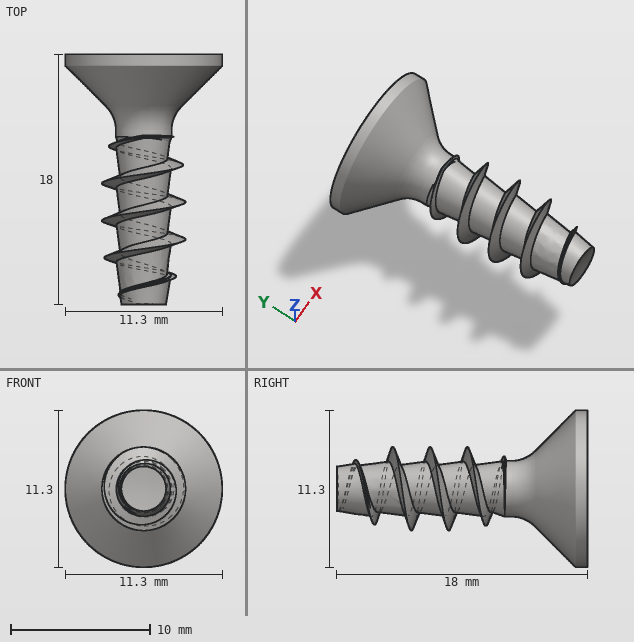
import cadquery as cq
import math

length = 18.0

head_radius = 5.65
rim_height = 0.85
rim_round = 0.05
head_half_angle = math.radians(45)
neck_radius = 2.02
neck_fillet = 2.38
neck_fillet_end = 5.45
thread_start = 5.94

tip_radius = 1.6
tip_slope = 0.17
dimple_radius = 1.5
dimple_depth = 0.1

pitch = 2.68
helix_origin = 5.27
crest_radius = 3.0
head_flank_slope = math.tan(math.radians(20))
tip_flank_slope = math.tan(math.radians(17))
thread_inner_radius = 1.44
start_turn = 0.25
crest_stations = [
    (-0.3, 1.95),
    (start_turn, 2.34),
    (1.25, crest_radius),
    (3.33, crest_radius),
    (4.75, 1.57),
]

groove_top_radius = 2.0
groove_bottom_radius = 1.67
groove_outer_radius = 2.16
lead_in_slope = 0.36
groove_margin = 0.05
groove_wall_run = 0.13
groove_least_floor = 0.09
groove_breaks = [-0.7, -0.25, 0.1, start_turn, 3.9]

points_per_turn = 24


def revolved(outline):
    """Turn a half outline about the screw axis."""
    return outline.close().revolve(360, (0, 0, 0), (0, 1, 0))


def make_body():
    """Head, neck and core down to the tip as one turned blank."""
    arc_center_radius = neck_radius + neck_fillet

    def arc_point(angle):
        radius = arc_center_radius - neck_fillet * math.cos(angle)
        depth = neck_fillet_end - neck_fillet * math.sin(angle)
        return (radius, -depth)

    tip_cone_start = length - (neck_radius - tip_radius) / tip_slope
    blank = revolved(
        cq.Workplane("XY")
        .lineTo(head_radius, 0)
        .lineTo(head_radius, -rim_height)
        .lineTo(*arc_point(head_half_angle))
        .threePointArc(arc_point(head_half_angle / 2), (neck_radius, -neck_fillet_end))
        .lineTo(neck_radius, -tip_cone_start)
        .lineTo(tip_radius, -length)
        .lineTo(0, -length)
    )
    rim_edges = blank.edges("%CIRCLE").edges(cq.selectors.RadiusNthSelector(-1))
    return rim_edges.fillet(rim_round)


def place(turn, corner):
    """Point at a turn of the helix, from its radius and its axial offset towards the tip."""
    radius, offset = corner
    angle = 2 * math.pi * turn
    depth = helix_origin + pitch * turn + offset
    return cq.Vector(radius * math.cos(angle), -depth, radius * math.sin(angle))


def helical_solid(section, breaks):
    """Solid along the helix, smooth between break turns; section(turn) lists (radius, offset) corners."""
    faces = []
    for first, last in zip(breaks, breaks[1:]):
        steps = math.ceil((last - first) * points_per_turn)
        turns = [first + (last - first) * i / steps for i in range(steps + 1)]
        tracks = zip(*[[place(turn, corner) for corner in section(turn)] for turn in turns])
        rails = [cq.Edge.makeSpline(list(track)) for track in tracks]
        faces += [cq.Face.makeRuledSurface(rails[i - 1], rails[i]) for i in range(len(rails))]
    for end in (breaks[0], breaks[-1]):
        corners = [place(end, corner) for corner in section(end)]
        faces.append(cq.Face.makeFromWires(cq.Wire.makePolygon(corners, close=True)))
    return cq.Workplane(obj=cq.Solid.makeSolid(cq.Shell.makeShell(faces)).fix())


def crest_at(turn):
    """Crest radius, changing evenly between the crest stations."""
    for (first, first_crest), (last, last_crest) in zip(crest_stations, crest_stations[1:]):
        if turn <= last:
            break
    return first_crest + (last_crest - first_crest) * (turn - first) / (last - first)


def thread_section(turn):
    """Triangular thread; ahead of the helix it fades into the neck along a flat ring."""
    crest = crest_at(turn)
    height = crest - thread_inner_radius
    middle = pitch * max(start_turn - turn, 0)
    return [
        (thread_inner_radius, middle - height * head_flank_slope),
        (crest, middle),
        (thread_inner_radius, middle + height * tip_flank_slope),
    ]


def lead_in_radius(depth):
    """Cone that leads from the neck down into the start of the groove."""
    return neck_radius - lead_in_slope * (depth - thread_start)


def groove_section(turn):
    """Sloping floor with a steep wall at its deep end; the first turn opens along the lead-in cone."""
    helix_depth = helix_origin + pitch * turn
    floor_end = pitch - groove_margin - groove_wall_run
    floor_slope = (groove_top_radius - groove_bottom_radius) / (floor_end - groove_margin)
    lead_in_gap = lead_in_radius(helix_depth + groove_margin) - groove_top_radius
    floor_start = groove_margin + max(lead_in_gap, 0) / (lead_in_slope - floor_slope)
    floor_start = min(floor_start, floor_end - groove_least_floor)
    floor_radius = max(
        groove_top_radius - floor_slope * (floor_start - groove_margin),
        lead_in_radius(helix_depth + floor_start),
    )
    lead_in_mouth = thread_start - (groove_outer_radius - neck_radius) / lead_in_slope
    return [
        (groove_outer_radius, max(lead_in_mouth - helix_depth, groove_margin)),
        (floor_radius, floor_start),
        (floor_radius - floor_slope * (floor_end - floor_start), floor_end),
        (groove_outer_radius, pitch - groove_margin),
    ]


def above_tip():
    """Block bounding everything from the head face to the tip."""
    return cq.Workplane("XY").box(2 * head_radius, length, 2 * head_radius).translate((0, -length / 2, 0))


def tip_dimple():
    """Shallow spherical hollow in the tip face."""
    sphere_radius = (dimple_radius**2 + dimple_depth**2) / (2 * dimple_depth)
    sphere_center = -length + dimple_depth - sphere_radius
    return cq.Workplane("XY").sphere(sphere_radius).translate((0, sphere_center, 0))


groove = helical_solid(groove_section, groove_breaks)
thread = helical_solid(thread_section, [turn for turn, crest in crest_stations]).intersect(above_tip())
result = make_body().cut(groove).union(thread).cut(tip_dimple())